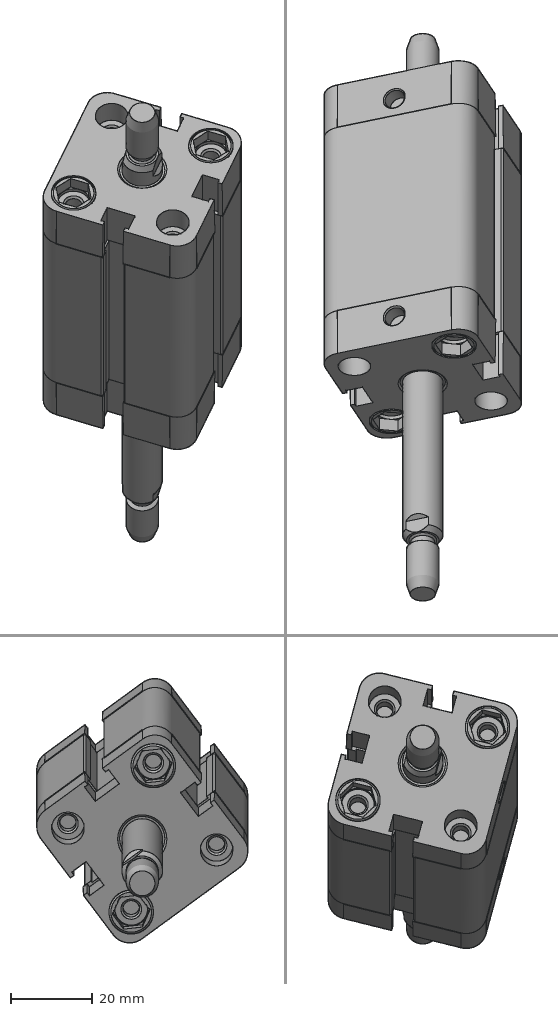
import cadquery as cq
import math

TOTAL_LENGTH = 163.0
HOUSING_TOP = 59.5
HOUSING_BOTTOM = -19.5
CAP_HEIGHT = 12.5

HOUSING_WIDTH = 40.0
CORNER_RADIUS = 5.0
CAP_WIDTH_AT_JOINT = 40.3
FLAT_WIDTH = HOUSING_WIDTH - 2 * CORNER_RADIUS

SLOT_DEPTH = 5.5
SLOT_MOUTH_WIDTH = 5.4
CAP_SLOT_WIDTH = 7.3
CAP_LIP_DEPTH = 1.1
BARREL_SLOT_WIDTH = 6.4
BARREL_LIP_DEPTH = 2.3
BARREL_MOUTH_CHAMFER = 0.5
SLOT_ANGLES = (-90, 0, 90)

THREAD_DIAMETER = 5.0
THREAD_CORE_DIAMETER = 4.0
THREAD_DEPTH = 4.0
PORT_MOUTH_DIAMETER = 5.9
PORT_FROM_END = 7.5

CORNER_SPACING = 26.0
CORNER_BORE_DIAMETER = 8.0
CORNER_BORE_DEPTH = 6.5
COLLAR_GROOVE_DIAMETER = 11.0
COLLAR_FACE_DIAMETER = 10.0
COLLAR_GROOVE_DEPTH = 0.5
SOCKET_FLATS_WIDTH = 8.0
SOCKET_DEPTH = 3.3
SOCKET_BORE_DEPTH = 4.2

ROD_DIAMETER = 10.0
ROD_MOUTH_DIAMETER = 12.0
ROD_MOUTH_FLOOR_DIAMETER = 11.1
STUD_DIAMETER = 8.0
STUD_TIP_DIAMETER = 6.2
STUD_TIP_LENGTH = 3.0
STUD_END_LENGTH = 0.5
NECK_DIAMETER = 5.9
NECK_START = 13.7
SHOULDER_START = 15.8
NECK_FLARE = 0.5
SHOULDER_DIAMETER = 8.0
SHOULDER_CHAMFER_LENGTH = 1.5
WRENCH_FLAT_WIDTH = 8.0
WRENCH_FLAT_END = 19.5


def housing_block(bottom, height):
    """Square block with rounded vertical edges."""
    block = cq.Workplane("XY").workplane(offset=bottom).rect(HOUSING_WIDTH, HOUSING_WIDTH).extrude(height)
    return block.edges("|Z").fillet(CORNER_RADIUS)


def cut_slots(body, slot_width, lip_depth, bottom, height):
    """Cut the undercut sensor slots, each with a narrow mouth, through the full height."""
    face = CAP_WIDTH_AT_JOINT / 2
    floor = HOUSING_WIDTH / 2 - SLOT_DEPTH
    lip = HOUSING_WIDTH / 2 - lip_depth
    base = cq.Workplane("XY").workplane(offset=bottom)
    mouth = base.center((floor + face) / 2, 0).rect(face - floor, SLOT_MOUTH_WIDTH).extrude(height)
    chamber = base.center((floor + lip) / 2, 0).rect(lip - floor, slot_width).extrude(height)
    slot = mouth.union(chamber)
    for angle in SLOT_ANGLES:
        body = body.cut(slot.rotate((0, 0, 0), (0, 0, 1), angle))
    return body


def make_barrel():
    """Slotted barrel between the end caps, bored for the rod."""
    bottom = HOUSING_BOTTOM + CAP_HEIGHT
    height = HOUSING_TOP - HOUSING_BOTTOM - 2 * CAP_HEIGHT
    barrel = housing_block(bottom, height)
    barrel = cut_slots(barrel, BARREL_SLOT_WIDTH, BARREL_LIP_DEPTH, bottom, height)
    face = HOUSING_WIDTH / 2
    half_mouth = SLOT_MOUTH_WIDTH / 2
    outline = [
        (face, half_mouth + BARREL_MOUTH_CHAMFER),
        (face - BARREL_MOUTH_CHAMFER, half_mouth),
        (face - BARREL_MOUTH_CHAMFER, -half_mouth),
        (face, -half_mouth - BARREL_MOUTH_CHAMFER),
    ]
    bevel = cq.Workplane("XY").workplane(offset=bottom).polyline(outline).close().extrude(height)
    for angle in SLOT_ANGLES:
        barrel = barrel.cut(bevel.rotate((0, 0, 0), (0, 0, 1), angle))
    rod_hole = cq.Workplane("XY").workplane(offset=bottom).circle(ROD_DIAMETER / 2).extrude(height)
    return barrel.cut(rod_hole)


def threaded_hole(start_diameter, core_diameter):
    """Blind hole going down from Z = 0, chamfered from the start diameter to the core."""
    start = start_diameter / 2
    core = core_diameter / 2
    profile = [(0, 0), (start, 0), (core, core - start), (core, -THREAD_DEPTH), (0, -THREAD_DEPTH)]
    return cq.Workplane("XZ").polyline(profile).close().revolve(360, (0, 0, 0), (0, 1, 0))


def bored_corner_hole(bore_depth):
    """Plain bore with a smaller threaded hole in its floor, going down from Z = 0."""
    bore = cq.Workplane("XY").circle(CORNER_BORE_DIAMETER / 2).extrude(-bore_depth)
    thread = threaded_hole(THREAD_DIAMETER, THREAD_CORE_DIAMETER)
    return bore.union(thread.translate((0, 0, -bore_depth)))


def collar_corner_hole():
    """Bored hole with a hexagonal socket, ringed by a groove that bevels the collar face."""
    outer = COLLAR_GROOVE_DIAMETER / 2
    inner = COLLAR_FACE_DIAMETER / 2
    section = cq.Workplane("XZ").polyline([(inner, 0), (outer, 0), (outer, -COLLAR_GROOVE_DEPTH)])
    groove = section.close().revolve(360, (0, 0, 0), (0, 1, 0))
    socket_corners = SOCKET_FLATS_WIDTH / math.cos(math.pi / 6)
    socket = cq.Workplane("XY").polygon(6, socket_corners).extrude(-SOCKET_DEPTH)
    return bored_corner_hole(SOCKET_BORE_DEPTH).union(socket).union(groove)


def make_top_cap():
    """End cap with slots, corner holes, an air port and the rod hole."""
    joint = HOUSING_TOP - CAP_HEIGHT
    cap = housing_block(joint, CAP_HEIGHT)

    half_width = HOUSING_WIDTH / 2
    lean = cq.Workplane("XZ").polyline(
        [(0, joint), (CAP_WIDTH_AT_JOINT / 2, joint), (half_width, HOUSING_TOP), (0, HOUSING_TOP)]
    )
    wedge = lean.close().extrude(FLAT_WIDTH / 2, both=True)
    for side in range(4):
        cap = cap.union(wedge.rotate((0, 0, 0), (0, 0, 1), 90 * side))

    cap = cut_slots(cap, CAP_SLOT_WIDTH, CAP_LIP_DEPTH, joint, CAP_HEIGHT)

    offset = CORNER_SPACING / 2
    collar_hole = collar_corner_hole()
    plain_hole = bored_corner_hole(CORNER_BORE_DEPTH)
    for x in (-offset, offset):
        cap = cap.cut(collar_hole.translate((x, x, HOUSING_TOP)))
        cap = cap.cut(plain_hole.translate((x, -x, HOUSING_TOP)))

    port = threaded_hole(PORT_MOUTH_DIAMETER, THREAD_DIAMETER).rotate((0, 0, 0), (0, 1, 0), -90)
    cap = cap.cut(port.translate((-CAP_WIDTH_AT_JOINT / 2, 0, HOUSING_TOP - PORT_FROM_END)))

    hole = cq.Workplane("XY").workplane(offset=joint).circle(ROD_DIAMETER / 2).extrude(CAP_HEIGHT)
    bevel = (ROD_MOUTH_DIAMETER - ROD_MOUTH_FLOOR_DIAMETER) / 2
    mouth = cq.Solid.makeCone(
        ROD_MOUTH_FLOOR_DIAMETER / 2, ROD_MOUTH_DIAMETER / 2, bevel, cq.Vector(0, 0, HOUSING_TOP - bevel)
    )
    return cap.cut(hole).cut(cq.Workplane(mouth))


def make_rod():
    """Rod through the housing, with the same threaded stud and wrench flats at both ends."""
    half_length = TOTAL_LENGTH / 2
    stud = STUD_DIAMETER / 2
    neck = NECK_DIAMETER / 2
    rod_radius = ROD_DIAMETER / 2
    chamfer_end = SHOULDER_START + SHOULDER_CHAMFER_LENGTH
    half_profile = [
        (0, 0),
        (STUD_TIP_DIAMETER / 2, 0),
        (stud, STUD_TIP_LENGTH),
        (stud, NECK_START - STUD_END_LENGTH),
        (neck, NECK_START),
        (neck, SHOULDER_START - NECK_FLARE),
        (neck + NECK_FLARE, SHOULDER_START),
        (SHOULDER_DIAMETER / 2, SHOULDER_START),
        (rod_radius, chamfer_end),
    ]
    upper = [(radius, half_length - distance) for radius, distance in half_profile]
    lower = [(radius, -height) for radius, height in reversed(upper)]
    rod = cq.Workplane("XZ").polyline(upper + lower).close().revolve(360, (0, 0, 0), (0, 1, 0))

    flat = WRENCH_FLAT_WIDTH / 2
    runout = rod_radius - flat
    shoulder = half_length - SHOULDER_START
    flat_end = half_length - WRENCH_FLAT_END
    cutter = cq.Workplane("XZ").polyline(
        [(flat, shoulder), (flat, flat_end), (flat + runout, flat_end - runout), (flat + runout, shoulder)]
    )
    cutter = cutter.close().extrude(ROD_DIAMETER / 2, both=True)
    cutters = cutter.union(cutter.mirror("YZ"))
    return rod.cut(cutters).cut(cutters.mirror("XY"))


barrel = make_barrel()
top_cap = make_top_cap()
housing_middle = (HOUSING_TOP + HOUSING_BOTTOM) / 2
bottom_cap = top_cap.mirror("XY", (0, 0, housing_middle))
rod = make_rod()

result = cq.Compound.makeCompound([barrel.val(), top_cap.val(), bottom_cap.val(), rod.val()])